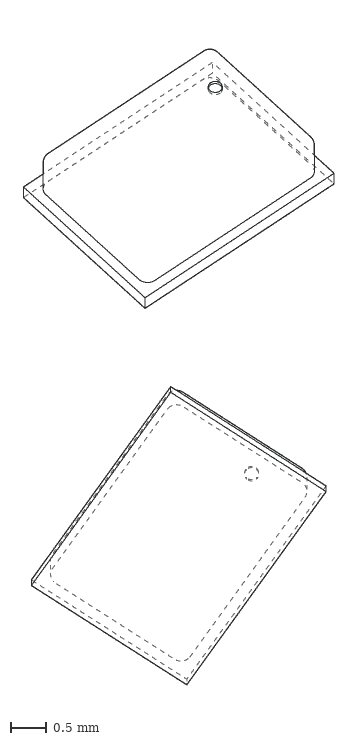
import cadquery as cq

board_width = 2.65
board_length = 3.5
total_height = 0.98
board_thickness = 0.238

ledge = 0.15
cap_width = board_width - 2 * ledge
cap_length = board_length - 2 * ledge
cap_height = total_height - board_thickness
edge_radius = 0.16

port_diameter = 0.2
port_x = -0.497
port_y = 1.1
port_depth = 0.05


def make_board():
    """Flat rectangular board with its underside at Z = 0."""
    return cq.Workplane("XY").box(
        board_width, board_length, board_thickness, centered=(True, True, False)
    )


def make_cap():
    """Solid cap with rounded upright and top edges and a round recess."""
    block = (
        cq.Workplane("XY")
        .workplane(offset=board_thickness)
        .box(cap_width, cap_length, cap_height, centered=(True, True, False))
    )
    rounded = block.edges("|Z or >Z").fillet(edge_radius)
    port = (
        cq.Workplane("XY")
        .workplane(offset=total_height - port_depth)
        .center(port_x, port_y)
        .circle(port_diameter / 2)
        .extrude(port_depth)
    )
    return rounded.cut(port)


board = make_board()
cap = make_cap()

result = cq.Compound.makeCompound([board.val(), cap.val()])